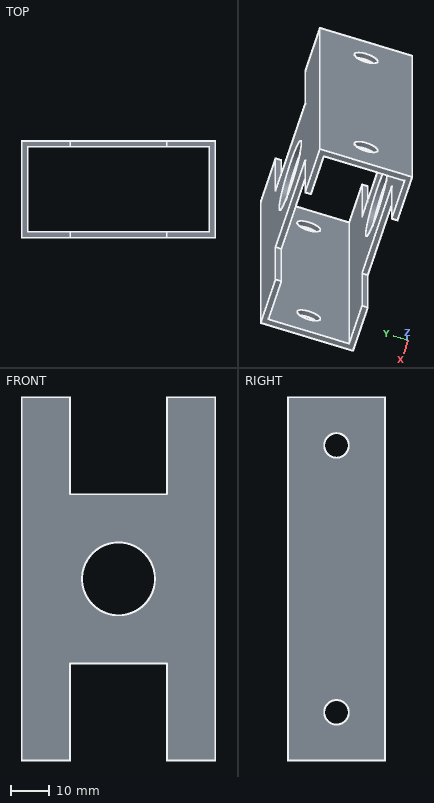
import cadquery as cq

height = 95.25
width = 50.8
depth = 25.4
wall = 1.6

notch_width = width / 2
notch_depth = 25.4

window_diameter = 19.05
bolt_diameter = 6.4
bolt_end_distance = 12.7


def make_tube():
    outer = cq.Workplane("XY").box(width, depth, height)
    bore = cq.Workplane("XY").box(width - 2 * wall, depth - 2 * wall, height)
    return outer.cut(bore)


def make_end_notches():
    """Blocks that open both broad walls at the top and bottom."""
    notch_offset = (height - notch_depth) / 2
    notch = cq.Workplane("XY").box(notch_width, depth, notch_depth)
    upper = notch.translate((0, 0, notch_offset))
    lower = notch.translate((0, 0, -notch_offset))
    return upper.union(lower)


def make_window():
    """Central hole through both broad walls."""
    return cq.Workplane("XZ").circle(window_diameter / 2).extrude(depth / 2, both=True)


def make_bolt_holes():
    """Holes near each end, through both narrow walls."""
    bolt_offset = height / 2 - bolt_end_distance
    return (
        cq.Workplane("YZ")
        .pushPoints([(0, bolt_offset), (0, -bolt_offset)])
        .circle(bolt_diameter / 2)
        .extrude(width / 2, both=True)
    )


result = make_tube().cut(make_end_notches()).cut(make_window()).cut(make_bolt_holes())